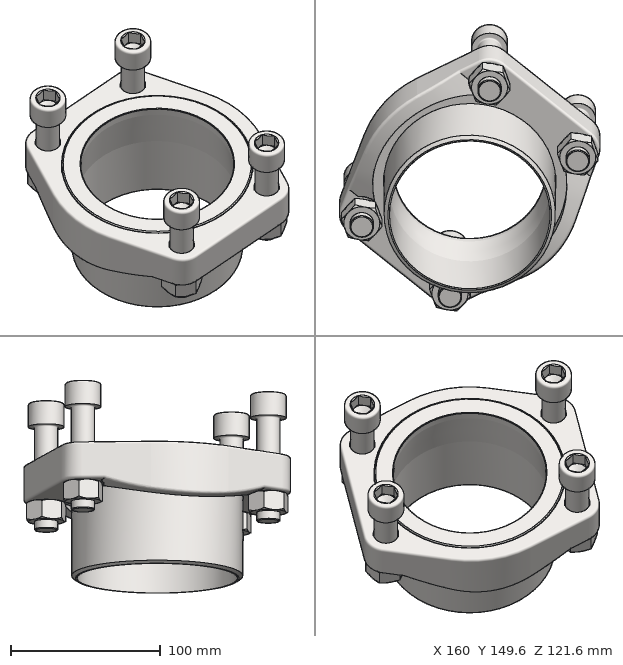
import cadquery as cq
import math

BOLT_X = 65.1
BOLT_Y = 38.9
BOLT_POINTS = [(sx * BOLT_X, sy * BOLT_Y) for sx in (-1, 1) for sy in (-1, 1)]

FLANGE_LENGTH = 160
FLANGE_WIDTH = 149.6
FLANGE_BOTTOM_Z = 54.4
FLANGE_THICKNESS = 25.0
FLANGE_TOP_Z = FLANGE_BOTTOM_Z + FLANGE_THICKNESS
FLANGE_FILLET = 2.0
BOLT_HOLE_DIAMETER = 17.0
BELLY_HALF_WIDTH = 56.2
BELLY_DROP = 10.0
BELLY_BORE_DIAMETER = 129.6
SPOTFACE_DIAMETER = 28.2

HUB_HEIGHT = 80
HUB_DIAMETER = 114.2
HUB_BORE_DIAMETER = 107.0
COLLAR_DIAMETER = 127.0
COLLAR_HEIGHT = 10.0
COLLAR_CHAMFER = 0.8
THROAT_DIAMETER = 102.0
THROAT_LENGTH = 6.0
THROAT_CHAMFER = 0.5
TAPER_START_Z = 46.0
WELD_BEVEL_WIDTH = 2.5
WELD_BEVEL_HEIGHT = 1.6
COLLAR_BOTTOM_Z = HUB_HEIGHT - COLLAR_HEIGHT

HUB_CLEARANCE = 0.8

TOTAL_HEIGHT = 121.6
HEAD_DIAMETER = 24
HEAD_HEIGHT = 16
HEAD_FILLET = 1.6
SHANK_DIAMETER = 15.7
SHANK_LENGTH = 70.0
SHANK_CHAMFER = 0.6
UNDERHEAD_FILLET = 1.0
SOCKET_ACROSS_FLATS = 14.0
SOCKET_DEPTH = 9.6
SOCKET_CONE_HALF_ANGLE = 60
SOCKET_ROTATION = 37.5
HEAD_BOTTOM_Z = TOTAL_HEIGHT - HEAD_HEIGHT
SHANK_END_Z = HEAD_BOTTOM_Z - SHANK_LENGTH

NUT_ACROSS_FLATS = 24
NUT_HEIGHT = 13.0
NUT_CHAMFER_ANGLE = 30

HEXAGON_SIDES = 6


def corner_diameter(across_flats):
    """Diameter of the circle through the corners of a hexagon."""
    return across_flats / math.cos(math.pi / HEXAGON_SIDES)


def polar(radius, angle):
    """X and Y of a point at a radius and an angle in radians."""
    return radius * math.cos(angle), radius * math.sin(angle)


def cylinder(diameter, bottom_z, top_z):
    """Upright cylinder on the Z axis."""
    return cq.Workplane("XY").workplane(offset=bottom_z).circle(diameter / 2).extrude(top_z - bottom_z)


def hexagon(across_corners, bottom_z, top_z):
    """Hexagonal prism with two of its corners on the X axis."""
    base = cq.Workplane("XY").workplane(offset=bottom_z)
    return base.polygon(HEXAGON_SIDES, across_corners).extrude(top_z - bottom_z)


def flange_blank(bottom_z):
    """Outline wrapped tangentially around a central circle and four corner circles."""
    middle_radius = FLANGE_WIDTH / 2
    corner_radius = FLANGE_LENGTH / 2 - BOLT_X
    centre_distance = math.hypot(BOLT_X, BOLT_Y)
    tangent_angle = math.atan2(BOLT_Y, BOLT_X) + math.acos((middle_radius - corner_radius) / centre_distance)

    middle_x, middle_y = polar(middle_radius, tangent_angle)
    reach_x, reach_y = polar(corner_radius, tangent_angle)
    halfway_x, halfway_y = polar(corner_radius, tangent_angle / 2)
    tangent_x, tangent_y = BOLT_X + reach_x, BOLT_Y + reach_y
    arc_x, arc_y = BOLT_X + halfway_x, BOLT_Y + halfway_y
    side_x = FLANGE_LENGTH / 2

    return (
        cq.Workplane("XY")
        .workplane(offset=bottom_z)
        .moveTo(side_x, -BOLT_Y)
        .lineTo(side_x, BOLT_Y)
        .threePointArc((arc_x, arc_y), (tangent_x, tangent_y))
        .lineTo(middle_x, middle_y)
        .threePointArc((0, middle_radius), (-middle_x, middle_y))
        .lineTo(-tangent_x, tangent_y)
        .threePointArc((-arc_x, arc_y), (-side_x, BOLT_Y))
        .lineTo(-side_x, -BOLT_Y)
        .threePointArc((-arc_x, -arc_y), (-tangent_x, -tangent_y))
        .lineTo(-middle_x, -middle_y)
        .threePointArc((0, -middle_radius), (middle_x, -middle_y))
        .lineTo(tangent_x, -tangent_y)
        .threePointArc((arc_x, -arc_y), (side_x, -BOLT_Y))
        .close()
        .extrude(FLANGE_TOP_Z - bottom_z)
    )


def flange_body():
    """Flat plate joined with a belly whose underside is one wide arc, both rounded at the rim."""
    plate = flange_blank(FLANGE_BOTTOM_Z).faces("<Z or >Z").edges().fillet(FLANGE_FILLET)

    belly_z = FLANGE_BOTTOM_Z - BELLY_DROP
    belly_radius = (BELLY_HALF_WIDTH**2 + BELLY_DROP**2) / (2 * BELLY_DROP)
    belly_shape = (
        cq.Workplane("XZ")
        .center(0, belly_z + belly_radius)
        .circle(belly_radius)
        .extrude(FLANGE_WIDTH, both=True)
    )
    belly = flange_blank(0).intersect(belly_shape).edges("not |Z").fillet(FLANGE_FILLET)
    return plate.union(belly)


def make_flange():
    """Flange with its stepped bore, bolt holes and nut seats."""
    bore = cylinder(HUB_DIAMETER + HUB_CLEARANCE, 0, FLANGE_TOP_Z)
    collar_recess = cylinder(COLLAR_DIAMETER + HUB_CLEARANCE, COLLAR_BOTTOM_Z, FLANGE_TOP_Z)
    belly_bore = cylinder(BELLY_BORE_DIAMETER, 0, FLANGE_BOTTOM_Z)
    body = flange_body().cut(bore).cut(collar_recess).cut(belly_bore)

    bolt_hole = cylinder(BOLT_HOLE_DIAMETER, 0, FLANGE_TOP_Z)
    spotface = cylinder(SPOTFACE_DIAMETER, 0, FLANGE_BOTTOM_Z)
    for x, y in BOLT_POINTS:
        body = body.cut(bolt_hole.translate((x, y, 0))).cut(spotface.translate((x, y, 0)))
    return body


def make_hub():
    """Revolved ring: bevelled pipe end, collar on top, bore narrowing to a throat."""
    outer = HUB_DIAMETER / 2
    collar = COLLAR_DIAMETER / 2
    throat = THROAT_DIAMETER / 2
    bore = HUB_BORE_DIAMETER / 2
    return (
        cq.Workplane("XZ")
        .moveTo(bore, 0)
        .lineTo(outer - WELD_BEVEL_WIDTH, 0)
        .lineTo(outer, WELD_BEVEL_HEIGHT)
        .lineTo(outer, COLLAR_BOTTOM_Z)
        .lineTo(collar, COLLAR_BOTTOM_Z)
        .lineTo(collar, HUB_HEIGHT - COLLAR_CHAMFER)
        .lineTo(collar - COLLAR_CHAMFER, HUB_HEIGHT)
        .lineTo(throat + THROAT_CHAMFER, HUB_HEIGHT)
        .lineTo(throat, HUB_HEIGHT - THROAT_CHAMFER)
        .lineTo(throat, HUB_HEIGHT - THROAT_LENGTH)
        .spline([(bore, TAPER_START_Z)], tangents=[(0, -1), (0, -1)], includeCurrent=True)
        .close()
        .revolve(360, (0, 0, 0), (0, 1, 0))
    )


def socket_cone(base_radius, base_z):
    """Cone that narrows downward from a circle at the given height."""
    depth = base_radius / math.tan(math.radians(SOCKET_CONE_HALF_ANGLE))
    return cq.Solid.makeCone(base_radius, 0, depth, cq.Vector(0, 0, base_z), cq.Vector(0, 0, -1))


def make_screw():
    """Screw on the Z axis, at its final height."""
    head = cylinder(HEAD_DIAMETER, HEAD_BOTTOM_Z, TOTAL_HEIGHT).faces(">Z").edges().fillet(HEAD_FILLET)
    shank = cylinder(SHANK_DIAMETER, SHANK_END_Z, HEAD_BOTTOM_Z).faces("<Z").edges().chamfer(SHANK_CHAMFER)
    underhead_corner = cq.selectors.RadiusNthSelector(0)
    blank = head.union(shank).faces("<Z[1]").edges(underhead_corner).fillet(UNDERHEAD_FILLET)

    socket_floor_z = TOTAL_HEIGHT - SOCKET_DEPTH
    socket_corners = corner_diameter(SOCKET_ACROSS_FLATS)
    socket = hexagon(socket_corners, socket_floor_z, TOTAL_HEIGHT)
    socket = socket.rotate((0, 0, 0), (0, 0, 1), SOCKET_ROTATION)
    floor_cone = socket_cone(SOCKET_ACROSS_FLATS / 2, socket_floor_z)
    mouth = socket_cone(socket_corners / 2, TOTAL_HEIGHT)
    return blank.cut(socket).cut(floor_cone).cut(mouth)


def make_nut():
    """Nut on the Z axis, seated against the flange."""
    nut_bottom_z = FLANGE_BOTTOM_Z - NUT_HEIGHT
    corner_radius = corner_diameter(NUT_ACROSS_FLATS) / 2
    face_radius = NUT_ACROSS_FLATS / 2
    chamfer_height = (corner_radius - face_radius) * math.tan(math.radians(NUT_CHAMFER_ANGLE))
    body = hexagon(2 * corner_radius, nut_bottom_z, FLANGE_BOTTOM_Z)
    bore = cylinder(SHANK_DIAMETER, nut_bottom_z, FLANGE_BOTTOM_Z)
    envelope = (
        cq.Workplane("XZ")
        .moveTo(0, nut_bottom_z)
        .lineTo(face_radius, nut_bottom_z)
        .lineTo(corner_radius, nut_bottom_z + chamfer_height)
        .lineTo(corner_radius, FLANGE_BOTTOM_Z - chamfer_height)
        .lineTo(face_radius, FLANGE_BOTTOM_Z)
        .lineTo(0, FLANGE_BOTTOM_Z)
        .close()
        .revolve(360, (0, 0, 0), (0, 1, 0))
    )
    return body.intersect(envelope).cut(bore)


flange = make_flange()
hub = make_hub()
screws = [make_screw().translate((x, y, 0)) for x, y in BOLT_POINTS]
nuts = [make_nut().translate((x, y, 0)) for x, y in BOLT_POINTS]

result = cq.Compound.makeCompound(
    [flange.val(), hub.val(), *[screw.val() for screw in screws], *[nut.val() for nut in nuts]]
)